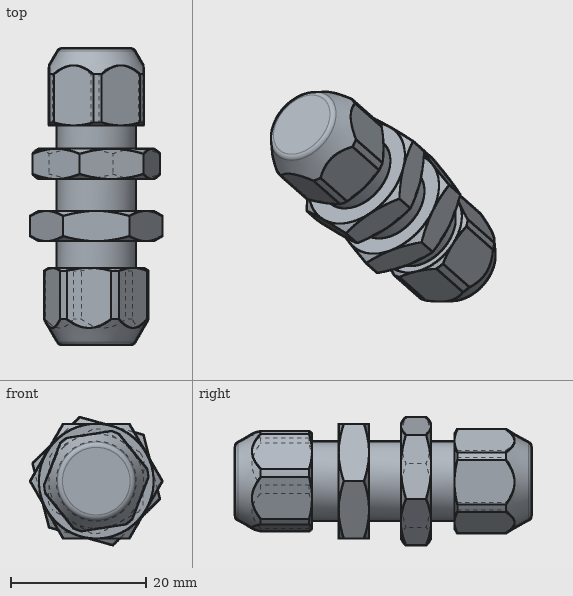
import cadquery as cq
import math

TOTAL_LENGTH = 44.0
CAP_LENGTH = 11.45
BODY_DIAMETER = 11.85

NUT_ACROSS_FLATS = 17.0
NUT_THICKNESS = 4.5
FRONT_NUT_START = -6.6
BACK_NUT_START = 2.6
FRONT_NUT_TURN = 0.0
BACK_NUT_TURN = 44.44

CAP_ACROSS_FLATS = 14.0
CAP_CORNER_DIAMETER = 15.5
NOSE_LENGTH = 3.85
NOSE_HALF_ANGLE = math.radians(30.0)
TIP_ROUND_RADIUS = 0.9
FRONT_CAP_TURN = 8.9
BACK_CAP_TURN = 28.7

CHAMFER_SLOPE = math.tan(math.radians(30.0))
RIM_CLEARANCE = 1.0


def revolve_about_y(outline):
    """Turn a closed (radius, y) outline about the Y axis."""
    return outline.close().revolve(360, (0, 0, 0), (0, 1, 0))


def hexagon_bar(across_flats, length, turn):
    """Hexagonal bar from y = 0 to y = length; turn is the angle from +X to a corner, toward +Z."""
    corner_diameter = across_flats / math.cos(math.pi / 6)
    bar = cq.Workplane("XZ").polygon(6, corner_diameter).extrude(-length)
    return bar.rotate((0, 0, 0), (0, 1, 0), -turn)


def lock_nut(start, turn):
    """Hexagon nut with its corners chamfered at both ends, beginning at y = start."""
    flat_radius = NUT_ACROSS_FLATS / 2
    corner_radius = flat_radius / math.cos(math.pi / 6)
    rim_radius = corner_radius + RIM_CLEARANCE
    rise = (rim_radius - flat_radius) * CHAMFER_SLOPE
    envelope = revolve_about_y(
        cq.Workplane("XY")
        .moveTo(0, 0)
        .lineTo(flat_radius, 0)
        .lineTo(rim_radius, rise)
        .lineTo(rim_radius, NUT_THICKNESS - rise)
        .lineTo(flat_radius, NUT_THICKNESS)
        .lineTo(0, NUT_THICKNESS)
    )
    nut = hexagon_bar(NUT_ACROSS_FLATS, NUT_THICKNESS, turn).intersect(envelope)
    return nut.translate((0, start, 0))


def clamping_cap(turn):
    """Cap with its tip at y = 0 and its chamfered base at y = CAP_LENGTH."""
    flat_radius = CAP_ACROSS_FLATS / 2
    corner_radius = CAP_CORNER_DIAMETER / 2
    base_chamfer = (corner_radius - flat_radius) * CHAMFER_SLOPE
    tip_radius = corner_radius - NOSE_LENGTH * math.tan(NOSE_HALF_ANGLE)
    envelope = revolve_about_y(
        cq.Workplane("XY")
        .moveTo(0, 0)
        .lineTo(tip_radius, 0)
        .lineTo(corner_radius, NOSE_LENGTH)
        .lineTo(corner_radius, CAP_LENGTH - base_chamfer)
        .lineTo(flat_radius, CAP_LENGTH)
        .lineTo(0, CAP_LENGTH)
    )
    envelope = envelope.faces("<Y").edges().fillet(TIP_ROUND_RADIUS)
    return hexagon_bar(CAP_ACROSS_FLATS, CAP_LENGTH, turn).intersect(envelope)


def body():
    """Cylindrical barrel running between the two caps."""
    length = TOTAL_LENGTH - 2 * CAP_LENGTH
    return cq.Workplane("XZ", origin=(0, -length / 2, 0)).circle(BODY_DIAMETER / 2).extrude(-length)


front_cap = clamping_cap(FRONT_CAP_TURN).translate((0, -TOTAL_LENGTH / 2, 0))
back_cap = (
    clamping_cap(-BACK_CAP_TURN)
    .rotate((0, 0, 0), (1, 0, 0), 180)
    .translate((0, TOTAL_LENGTH / 2, 0))
)

result = (
    body()
    .union(lock_nut(FRONT_NUT_START, FRONT_NUT_TURN))
    .union(lock_nut(BACK_NUT_START, BACK_NUT_TURN))
    .union(front_cap)
    .union(back_cap)
)